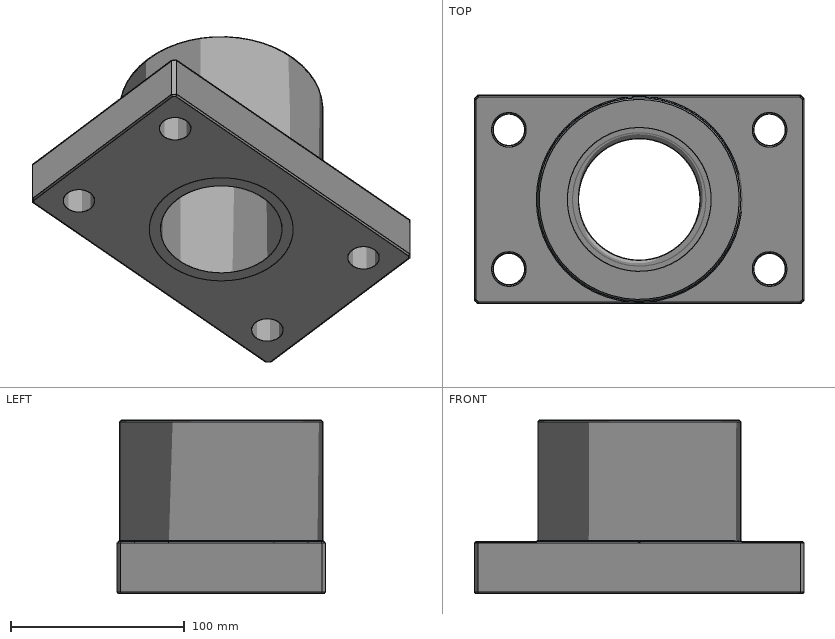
import cadquery as cq

plate_length = 190.0
plate_width = 120.0
plate_height = 30.0
plate_edge_chamfer = 1.0
plate_corner_chamfer = 2.0

hole_spacing_x = 150.1
hole_spacing_y = 80.2
hole_diameter = 18.0
hole_chamfer = 1.0
hole_chamfer_angle = 90

total_height = 100.0
boss_diameter = 117.0
boss_top_chamfer = 1.0
boss_root_fillet = 0.8

liner_outer_diameter = 82.8
liner_bore_diameter = 70.0
liner_lip_radius = 3.5


def make_plate():
    """Rectangular flange with cut corners and broken top and bottom edges."""
    plate = cq.Workplane("XY").box(plate_length, plate_width, plate_height, centered=(True, True, False))
    plate = plate.edges("|Z").chamfer(plate_corner_chamfer)
    return plate.faces("<Z or >Z").edges().chamfer(plate_edge_chamfer)


def make_boss():
    """Round boss with a chamfered top rim and a concave fillet where it meets the plate."""
    radius = boss_diameter / 2
    fillet_top = plate_height + boss_root_fillet
    return (
        cq.Workplane("XZ")
        .lineTo(radius, 0)
        .lineTo(radius, plate_height - plate_edge_chamfer)
        .lineTo(radius + boss_root_fillet, plate_height)
        .radiusArc((radius, fillet_top), boss_root_fillet)
        .lineTo(radius, total_height - boss_top_chamfer)
        .lineTo(radius - boss_top_chamfer, total_height)
        .lineTo(0, total_height)
        .close()
        .revolve(360, (0, 0, 0), (0, 1, 0))
    )


def cut_mounting_holes(body):
    """Four through holes, chamfered at the top face of the plate."""
    mouth_diameter = hole_diameter + 2 * hole_chamfer
    return (
        body.faces(">Z")
        .workplane(origin=(0, 0, plate_height))
        .rarray(hole_spacing_x, hole_spacing_y, 2, 2)
        .cskHole(hole_diameter, mouth_diameter, hole_chamfer_angle)
    )


def make_housing():
    """Flange and boss in one piece, bored through for the liner."""
    housing = cut_mounting_holes(make_plate()).union(make_boss())
    liner_seat = cq.Workplane("XY").circle(liner_outer_diameter / 2).extrude(total_height)
    return housing.cut(liner_seat)


def make_liner():
    """Plain sleeve with a rounded lip at the top of its bore."""
    liner = (
        cq.Workplane("XY")
        .circle(liner_outer_diameter / 2)
        .circle(liner_bore_diameter / 2)
        .extrude(total_height)
    )
    return liner.faces(">Z").edges(cq.selectors.RadiusNthSelector(0)).fillet(liner_lip_radius)


housing = make_housing()
liner = make_liner()

result = cq.Compound.makeCompound([housing.val(), liner.val()])